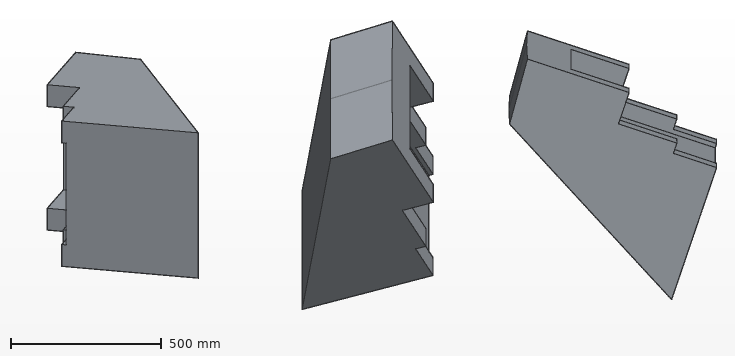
import cadquery as cq

width = 618.0
length = 714.5
height = 508.0

back_ridge = 3.0
back_drop = 13.5
back_width = 227.0
back_left_y = length - back_ridge
back_right_y = back_left_y - back_drop

large_step_x = 111.5
large_step_y = 356.0
small_step_x = 148.0
small_step_y = 151.5

flange_thickness = 76.5
pocket_depth = 163.0
pocket_length = 559.0
pocket_end_drop = pocket_depth * back_drop / back_width


def stepped_body():
    """Full-height block with a stepped left side and a slanted right side."""
    outline = [
        (0, large_step_y),
        (large_step_x, large_step_y),
        (large_step_x, small_step_y),
        (small_step_x, small_step_y),
        (small_step_x, 0),
        (width, 0),
        (back_width, back_right_y),
        (0, back_left_y),
    ]
    return cq.Workplane("XY").polyline(outline).close().extrude(height)


def back_bulge():
    """Shallow triangular prism laid along the sloping back wall."""
    ridge_profile = [
        (back_left_y, 0),
        (length, height / 2),
        (back_left_y, height),
    ]
    far_profile = [(y - back_drop, z) for y, z in ridge_profile]
    return (
        cq.Workplane("YZ")
        .polyline(ridge_profile)
        .close()
        .workplane(offset=back_width)
        .polyline(far_profile)
        .close()
        .loft(ruled=True)
    )


def pocket():
    """Cut between the upper and lower flanges."""
    outline = [
        (0, 0),
        (pocket_depth, 0),
        (pocket_depth, pocket_length - pocket_end_drop),
        (0, pocket_length),
    ]
    pocket_height = height - 2 * flange_thickness
    return (
        cq.Workplane("XY", origin=(0, 0, flange_thickness))
        .polyline(outline)
        .close()
        .extrude(pocket_height)
    )


result = stepped_body().union(back_bulge()).cut(pocket())